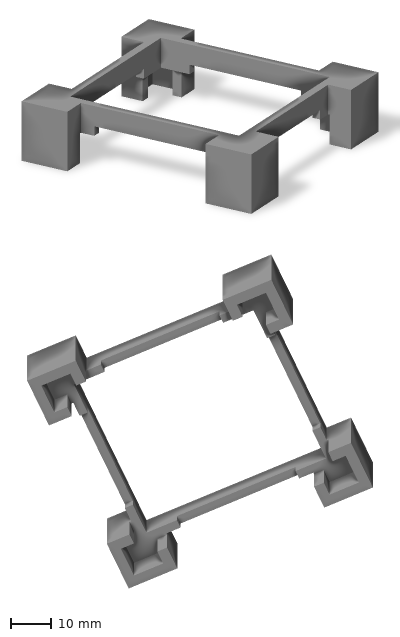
import cadquery as cq

length = 66.3
width = 61.3
height = 16.0
split_height = height / 2

corner_size = 13.2
rail_inset = corner_size / 2
rail_thickness = 2.2
rail_depth = 5.45
lip_length = 3.85

leg_wall = 2.65
leg_arm = 6.15
pocket_size = corner_size - 2 * leg_wall

opening_inset = rail_inset + rail_thickness
lip_inset = corner_size + lip_length


def centred_box(size_x, size_y, bottom, top):
    return (
        cq.Workplane("XY")
        .workplane(offset=bottom)
        .rect(size_x, size_y)
        .extrude(top - bottom)
    )


def corner_boxes(size, inset, bottom, top):
    """Square blocks at all four corners, their outer faces set in by inset."""
    spacing_x = length - 2 * inset - size
    spacing_y = width - 2 * inset - size
    return (
        cq.Workplane("XY")
        .workplane(offset=bottom)
        .rect(spacing_x, spacing_y, forConstruction=True)
        .vertices()
        .rect(size, size)
        .extrude(top - bottom)
    )


def inset_box(inset, bottom, top):
    return centred_box(length - 2 * inset, width - 2 * inset, bottom, top)


def make_frame():
    """Rails and corner blocks around the rectangular opening."""
    frame = inset_box(rail_inset, split_height, height)
    frame = frame.union(corner_boxes(corner_size, 0, split_height, height))
    frame = frame.cut(inset_box(opening_inset, split_height, height))
    rail_bottom = height - rail_depth
    span_x = length - 2 * lip_inset
    span_y = width - 2 * lip_inset
    frame = frame.cut(centred_box(span_x, width, split_height, rail_bottom))
    return frame.cut(centred_box(length, span_y, split_height, rail_bottom))


def make_legs():
    """C-shaped legs that open toward the middle of the frame."""
    legs = corner_boxes(corner_size, 0, 0, split_height)
    legs = legs.cut(corner_boxes(pocket_size, leg_wall, 0, split_height))
    return legs.cut(inset_box(leg_arm, 0, split_height))


result = make_frame().union(make_legs())